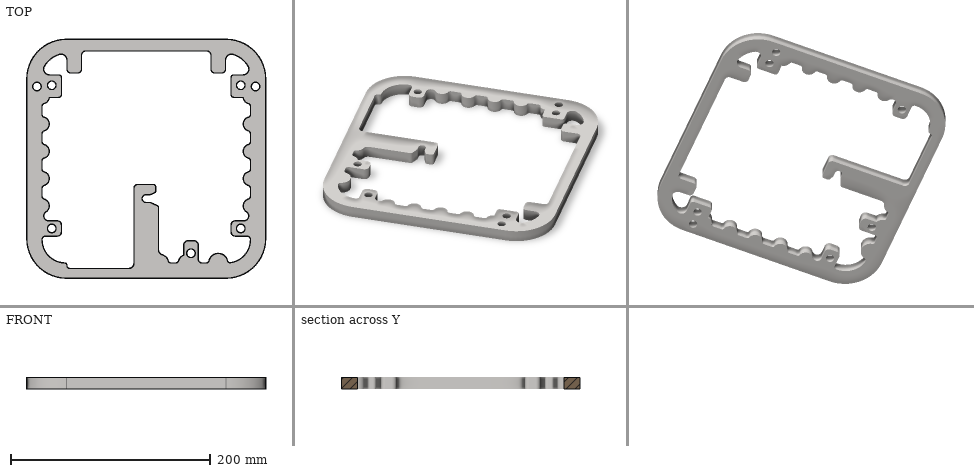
import cadquery as cq
import math

SIDE = 240.0
THICKNESS = 12.0
CORNER_RADIUS = 40.0
HALF = SIDE / 2
CORNER_CENTRE = HALF - CORNER_RADIUS

WALL = 15.5
TOP_RAIL = 12.0
BOTTOM_RAIL = 10.0
POCKET_RADIUS = 25.7
INNER = HALF - WALL
INNER_RADIUS = 23.0
STEP_X = -79.5
STEP_ROUND = 2.6

HOLE_DIAMETER = 8.5

TAB_INNER_X = 64.8
TAB_WIDTH = 15.0
TAB_OUTER_X = TAB_INNER_X + TAB_WIDTH
TAB_END_Y = 86.0
TAB_ROUND = 4.0
POCKET_ROUND = 5.8

BLOCK_INNER_X = 85.0
UPPER_BLOCK_TOP = 84.2
UPPER_BLOCK_BOTTOM = 61.5
UPPER_BLOCK_ROUND = 3.0
LOWER_BLOCK_TOP = -62.2
LOWER_BLOCK_BOTTOM = -77.8
LOWER_BLOCK_ROUND = 4.5
LOWER_BLOCK_FOOT_ROUND = 3.0
BLOCK_HOLE_X = 94.8
UPPER_HOLE_Y = 73.7
LOWER_HOLE_Y = (LOWER_BLOCK_TOP + LOWER_BLOCK_BOTTOM) / 2
WALL_HOLE_X = 109.7
WALL_HOLE_Y = 72.5

BUMP_COUNT = 5
BUMP_PITCH = 27.4
BUMP_FIRST_Y = 62.2
BUMP_RADIUS = 7.2
BUMP_FOOT_ROUND = 2.5
NOTCH_RADIUS = 4.8

COLUMN_HALF_WIDTH = 12.5
COLUMN_TOP = -25.7
COLUMN_ROUND = 4.0
COLUMN_FOOT_ROUND = 5.0
HOOK_TIP_X = 9.5
HOOK_ROUND = 2.5
SLOT_END_X = -4.0
SLOT_TOP = -36.2
SLOT_BOTTOM = -43.7
SLOT_ROUND = 3.5
FLARE_START_X = 3.8
FLARE_SLOPE = 0.45

LUG_X = 45.0
LUG_WIDTH = 15.0
LUG_TOP = -82.0
LUG_ROUND = 4.8
LUG_HOLE_Y = -94.8
COLUMN_BUMP_X = 14.0
LUG_BUMP_X = 40.5
SMALL_BUMP_RADIUS = 8.5
WIDE_BUMP_X = 72.2
WIDE_BUMP_RADIUS = 9.5
FLOOR_ROUND = 2.6
LUG_FOOT_ROUND = 3.4


def block(x1, x2, y1, y2):
    """Full-thickness rectangular block between two X and two Y limits."""
    plan = cq.Workplane("XY").center((x1 + x2) / 2, (y1 + y2) / 2)
    return plan.rect(abs(x2 - x1), abs(y2 - y1)).extrude(THICKNESS)


def disc(x, y, radius):
    return cq.Workplane("XY").center(x, y).circle(radius).extrude(THICKNESS)


def prism(points):
    return cq.Workplane("XY").polyline(points).close().extrude(THICKNESS)


def rounded_square(half, radius):
    return block(-half, half, -half, half).edges("|Z").fillet(radius)


def round_corners(body, radius, corners):
    """Fillet the vertical edges standing at the given plan positions."""
    edges = []
    for x, y in corners:
        near = cq.selectors.NearestToPointSelector((x, y, THICKNESS / 2))
        edges.append(body.edges("|Z").edges(near).val())
    return body.newObject(edges).fillet(radius)


def add_side(frame, side):
    """Tab, blocks and bumps of one side wall; side is -1 for left, 1 for right."""
    wall_x = side * INNER
    block_x = side * BLOCK_INNER_X
    frame = frame.cut(disc(side * CORNER_CENTRE, CORNER_CENTRE, POCKET_RADIUS))

    frame = frame.union(block(side * TAB_INNER_X, side * TAB_OUTER_X, TAB_END_Y, HALF))
    root_x = side * (HALF - WALL / 2)
    frame = frame.union(block(root_x, block_x, UPPER_BLOCK_BOTTOM, UPPER_BLOCK_TOP))
    frame = frame.union(block(root_x, block_x, LOWER_BLOCK_BOTTOM, LOWER_BLOCK_TOP))

    bump_ys = [BUMP_FIRST_Y - i * BUMP_PITCH for i in range(BUMP_COUNT)]
    for y in bump_ys:
        frame = frame.union(disc(wall_x, y, BUMP_RADIUS))

    notch_y = LOWER_BLOCK_TOP + NOTCH_RADIUS
    rise = bump_ys[-1] - notch_y
    notch_x = wall_x - side * math.sqrt((BUMP_RADIUS + NOTCH_RADIUS) ** 2 - rise**2)
    web = prism([
        (wall_x, bump_ys[-1]),
        (notch_x, notch_y),
        (notch_x, LOWER_BLOCK_TOP),
        (wall_x, LOWER_BLOCK_TOP),
    ])
    frame = frame.union(web.cut(disc(notch_x, notch_y, NOTCH_RADIUS)))

    feet = [(wall_x, y - BUMP_RADIUS) for y in bump_ys[:-1]]
    feet += [(wall_x, y + BUMP_RADIUS) for y in bump_ys[1:]]
    frame = round_corners(frame, BUMP_FOOT_ROUND, feet)

    tab_end = [(side * x, TAB_END_Y) for x in (TAB_INNER_X, TAB_OUTER_X)]
    tab_root = [(side * TAB_INNER_X, HALF - TOP_RAIL)]
    frame = round_corners(frame, TAB_ROUND, tab_end + tab_root)
    upper_corners = [(block_x, UPPER_BLOCK_TOP), (block_x, UPPER_BLOCK_BOTTOM)]
    frame = round_corners(frame, UPPER_BLOCK_ROUND, upper_corners)
    lower_corners = [(block_x, LOWER_BLOCK_TOP), (block_x, LOWER_BLOCK_BOTTOM)]
    frame = round_corners(frame, LOWER_BLOCK_ROUND, lower_corners)
    frame = round_corners(frame, LOWER_BLOCK_FOOT_ROUND, [(wall_x, LOWER_BLOCK_BOTTOM)])

    pocket_ends = [
        (side * TAB_OUTER_X, CORNER_CENTRE + POCKET_RADIUS),
        (side * (CORNER_CENTRE + POCKET_RADIUS), UPPER_BLOCK_TOP),
    ]
    return round_corners(frame, POCKET_ROUND, pocket_ends)


def add_column(frame):
    """Column with a hook at the top, formed by a flared slot open to the right."""
    hook_lip_y = SLOT_TOP + FLARE_SLOPE * (HOOK_TIP_X - FLARE_START_X)
    shoulder_y = SLOT_BOTTOM - FLARE_SLOPE * (COLUMN_HALF_WIDTH - FLARE_START_X)
    column = prism([
        (-COLUMN_HALF_WIDTH, -HALF),
        (-COLUMN_HALF_WIDTH, COLUMN_TOP),
        (HOOK_TIP_X, COLUMN_TOP),
        (HOOK_TIP_X, hook_lip_y),
        (FLARE_START_X, SLOT_TOP),
        (SLOT_END_X, SLOT_TOP),
        (SLOT_END_X, SLOT_BOTTOM),
        (FLARE_START_X, SLOT_BOTTOM),
        (COLUMN_HALF_WIDTH, shoulder_y),
        (COLUMN_HALF_WIDTH, -HALF),
    ])
    column = round_corners(column, COLUMN_ROUND, [(-COLUMN_HALF_WIDTH, COLUMN_TOP)])
    column = round_corners(column, SLOT_ROUND, [(SLOT_END_X, SLOT_TOP), (SLOT_END_X, SLOT_BOTTOM)])
    hook_corners = [
        (HOOK_TIP_X, COLUMN_TOP),
        (HOOK_TIP_X, hook_lip_y),
        (COLUMN_HALF_WIDTH, shoulder_y),
    ]
    column = round_corners(column, HOOK_ROUND, hook_corners)
    return frame.union(column)


def add_bottom_rail(frame):
    """Lug and bumps right of the column, then the rounds along the bottom rail."""
    lug_left = LUG_X - LUG_WIDTH / 2
    lug_right = LUG_X + LUG_WIDTH / 2
    lug = block(lug_left, lug_right, -HALF, LUG_TOP)
    frame = frame.union(round_corners(lug, LUG_ROUND, [(lug_left, LUG_TOP), (lug_right, LUG_TOP)]))
    frame = frame.union(disc(COLUMN_BUMP_X, -INNER, SMALL_BUMP_RADIUS))
    frame = frame.union(disc(LUG_BUMP_X, -INNER, SMALL_BUMP_RADIUS))
    frame = frame.union(disc(WIDE_BUMP_X, -INNER, WIDE_BUMP_RADIUS))

    floor_corners = [
        (COLUMN_BUMP_X + SMALL_BUMP_RADIUS, -INNER),
        (LUG_BUMP_X - SMALL_BUMP_RADIUS, -INNER),
        (WIDE_BUMP_X - WIDE_BUMP_RADIUS, -INNER),
        (WIDE_BUMP_X + WIDE_BUMP_RADIUS, -INNER),
    ]
    frame = round_corners(frame, FLOOR_ROUND, floor_corners)
    frame = round_corners(frame, LUG_FOOT_ROUND, [(lug_right, -INNER)])
    column_feet = [
        (-COLUMN_HALF_WIDTH, BOTTOM_RAIL - HALF),
        (COLUMN_HALF_WIDTH, SMALL_BUMP_RADIUS - INNER),
    ]
    frame = round_corners(frame, COLUMN_FOOT_ROUND, column_feet)
    step_corners = [(STEP_X, -INNER), (STEP_X, BOTTOM_RAIL - HALF)]
    return round_corners(frame, STEP_ROUND, step_corners)


def add_holes(frame):
    centres = [(LUG_X, LUG_HOLE_Y)]
    for side in (-1, 1):
        centres.append((side * BLOCK_HOLE_X, UPPER_HOLE_Y))
        centres.append((side * BLOCK_HOLE_X, LOWER_HOLE_Y))
        centres.append((side * WALL_HOLE_X, WALL_HOLE_Y))
    for x, y in centres:
        frame = frame.cut(disc(x, y, HOLE_DIAMETER / 2))
    return frame


frame = rounded_square(HALF, CORNER_RADIUS).cut(rounded_square(INNER, INNER_RADIUS))
frame = frame.cut(block(-TAB_INNER_X, TAB_INNER_X, 0, HALF - TOP_RAIL))
frame = frame.cut(block(STEP_X, -COLUMN_HALF_WIDTH, BOTTOM_RAIL - HALF, 0))
for side in (-1, 1):
    frame = add_side(frame, side)
frame = add_column(frame)
frame = add_bottom_rail(frame)
result = add_holes(frame)